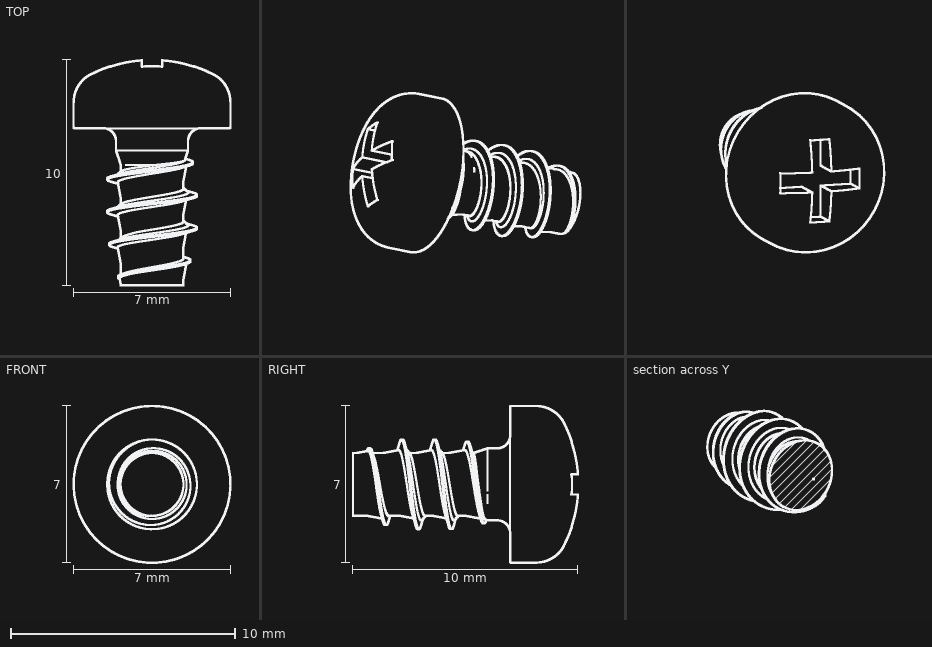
import cadquery as cq
import math


head_radius = 3.5
head_edge_fillet = 0.05
rim_height = 1.15
shoulder_radius = 1.42
shoulder_top_height = 2.36
dome_radius = 6.0
shoulder_centre = head_radius - shoulder_radius
shoulder_rise = shoulder_top_height - rim_height
dome_edge_radius = shoulder_centre + math.sqrt(shoulder_radius**2 - shoulder_rise**2)

recess_reach = 1.86
arm_width = 0.9
recess_floor_height = 1.55

length = 7.0
neck_radius = 1.61
neck_fillet = 0.57
neck_end = 1.0
core_radius = 1.4
core_start = 1.64
dimple_radius = 1.31
dimple_depth = 0.1

pitch = 1.46
thread_radius = 2.0
thread_start = 0.8
thread_start_angle = 180.0
run_in_end = thread_start + pitch
run_in_drop = 0.35
run_out_start = 4.85
run_out_end = 7.35
run_out_drop = 0.68
overrun = 0.5

rib_root_radius = 1.2
crest_half_width = 0.03
head_foot_offset = 0.3
head_foot_radius = 1.42
flank_break_offset = 0.13
flank_break_radius = 1.62
tip_flank_reach = 0.24
rib_profile = [
    (-head_foot_offset, rib_root_radius),
    (-head_foot_offset, head_foot_radius),
    (-flank_break_offset, flank_break_radius),
    (-crest_half_width, thread_radius),
    (crest_half_width, thread_radius),
    (tip_flank_reach, rib_root_radius),
]

ramp_top_radius = 1.56
ramp_length = 0.85
ramp_root_radius = 1.34
ramp_fade_start = 5.9
ramp_fade_drop = 0.2
ramp_slope = (ramp_top_radius - core_radius) / ramp_length
ramp_profile = [
    (0.0, ramp_root_radius),
    (0.0, ramp_top_radius),
    ((ramp_top_radius - ramp_root_radius) / ramp_slope, ramp_root_radius),
]

rib_stages = [
    (thread_start, run_in_end, run_in_drop, 0.0),
    (run_in_end, run_out_start, 0.0, 0.0),
    (run_out_start, run_out_end, 0.0, run_out_drop),
]
ramp_stages = [
    (thread_start, ramp_fade_start, 0.0, 0.0),
    (ramp_fade_start, run_out_end, 0.0, ramp_fade_drop),
]


def angle_at(station):
    """Direction of the thread crest at an axial station, in degrees."""
    return thread_start_angle + 360.0 * (station - thread_start) / pitch


def helix_edge(point, stage):
    """Path of one profile point along a stage; a changing sink makes it a conical helix."""
    offset, radius = point
    start, end, start_sink, end_sink = stage
    rise = end - start
    taper = math.atan2(start_sink - end_sink, rise)
    if taper == 0:
        wire = cq.Wire.makeHelix(pitch, rise, radius - start_sink)
    else:
        slant = 1 / math.cos(taper)
        wire = cq.Wire.makeHelix(
            pitch * slant, rise * slant, radius - start_sink, angle=math.degrees(taper)
        )
    turned = wire.rotate(cq.Vector(0, 0, 0), cq.Vector(0, 0, 1), angle_at(start))
    return turned.translate(cq.Vector(0, 0, start + offset)).Edges()[0]


def end_cap(profile, station, sink):
    """Flat end face of a helical body."""
    angle = math.radians(angle_at(station))
    corners = [
        cq.Vector((r - sink) * math.cos(angle), (r - sink) * math.sin(angle), station + offset)
        for offset, r in profile
    ]
    return cq.Face.makeFromWires(cq.Wire.makePolygon(corners, close=True))


def helical_body(profile, stages):
    """Solid bounded by ruled strips between the helices of neighbouring profile points."""
    first, last = stages[0], stages[-1]
    faces = [end_cap(profile, first[0], first[2]), end_cap(profile, last[1], last[3])]
    for stage in stages:
        edges = [helix_edge(point, stage) for point in profile]
        for i in range(len(edges)):
            faces.append(cq.Face.makeRuledSurface(edges[i - 1], edges[i]))
    shell = cq.Shell.makeShell(faces)
    return cq.Workplane(obj=cq.Solid.makeSolid(shell))


def threaded_zone():
    """Cylinder covering the stretch from the neck to the tip."""
    return (
        cq.Workplane("XY", origin=(0, 0, neck_end))
        .circle(thread_radius + overrun)
        .extrude(length - neck_end)
    )


def dome_drop(radius):
    """Fall of the dome below its peak at a distance from the axis."""
    return dome_radius - math.sqrt(dome_radius**2 - radius**2)


def blank():
    """Head, neck and core as one revolved outline."""
    half_edge = dome_edge_radius / 2
    dome_height = shoulder_top_height + dome_drop(dome_edge_radius)
    dome_mid = (half_edge, dome_drop(half_edge) - dome_height)
    shoulder_half_angle = math.asin(shoulder_rise / shoulder_radius) / 2
    shoulder_mid = (
        shoulder_centre + shoulder_radius * math.cos(shoulder_half_angle),
        -rim_height - shoulder_radius * math.sin(shoulder_half_angle),
    )
    mid_arc_share = 1 - math.sqrt(0.5)
    fillet_leg = neck_fillet * mid_arc_share
    edge_leg = head_edge_fillet * mid_arc_share
    outline = (
        cq.Workplane("YZ")
        .moveTo(0, -dome_height)
        .threePointArc(dome_mid, (dome_edge_radius, -shoulder_top_height))
        .threePointArc(shoulder_mid, (head_radius, -rim_height))
        .lineTo(head_radius, -head_edge_fillet)
        .threePointArc((head_radius - edge_leg, -edge_leg), (head_radius - head_edge_fillet, 0))
        .lineTo(neck_radius + neck_fillet, 0)
        .threePointArc((neck_radius + fillet_leg, fillet_leg), (neck_radius, neck_fillet))
        .lineTo(neck_radius, neck_end)
        .lineTo(core_radius, core_start)
        .lineTo(core_radius, length)
        .lineTo(0, length)
        .close()
    )
    return outline.revolve(360, (0, 0, 0), (0, 1, 0))


def cross_recess():
    """Two crossed slots open at the top of the head."""
    depth = 2 * recess_floor_height
    plane = cq.Workplane("XY", origin=(0, 0, -recess_floor_height))
    arm_x = plane.rect(2 * recess_reach, arm_width).extrude(-depth)
    arm_y = plane.rect(arm_width, 2 * recess_reach).extrude(-depth)
    return arm_x.union(arm_y)


def tip_dimple():
    """Ball that leaves a shallow dish in the tip."""
    ball_radius = (dimple_radius**2 + dimple_depth**2) / (2 * dimple_depth)
    ball_centre = length - dimple_depth + ball_radius
    return cq.Workplane("XY", origin=(0, 0, ball_centre)).sphere(ball_radius)


rib = helical_body(rib_profile, rib_stages).intersect(threaded_zone())
ramp = helical_body(ramp_profile, ramp_stages).intersect(threaded_zone())
screw = blank().union(rib).union(ramp).cut(cross_recess()).cut(tip_dimple())
result = screw.rotate((0, 0, 0), (1, 0, 0), 90)